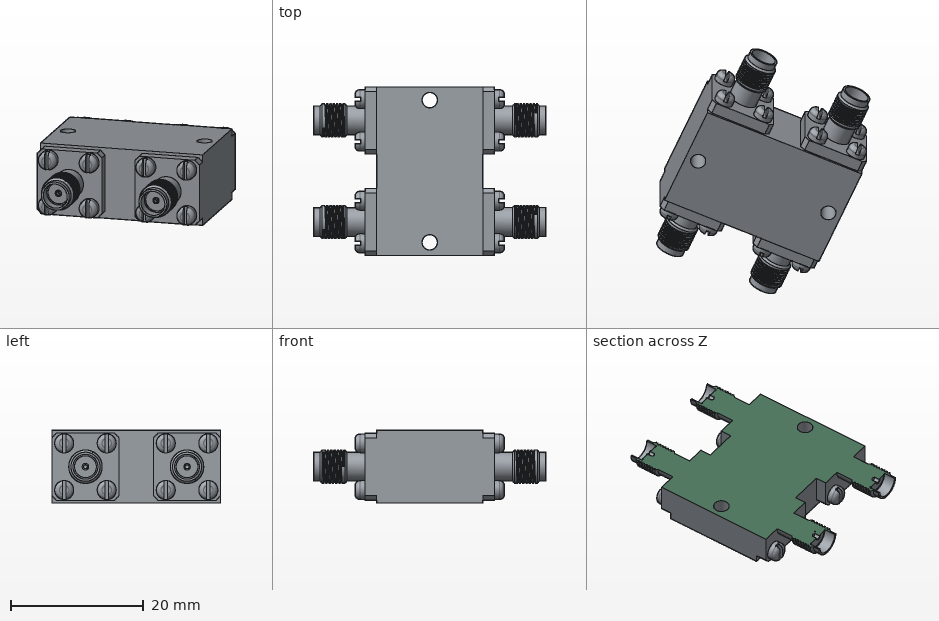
import cadquery as cq
import math

overall_length = 35.0
body_length = 16.0
body_width = 25.4
body_height = 11.0
mount_hole_diameter = 2.28
mount_hole_inset = 2.0

flange_size = 10.1
flange_thickness = 1.75
flange_corner_chamfer = 0.7

screw_spacing_y = 6.4
screw_spacing_z = 7.05
screw_head_diameter = 2.87
screw_head_height = 1.5
screw_dome_radius = screw_head_diameter / 4
screw_slot_width = 0.55
screw_slot_depth = 0.85

barrel_diameter = 4.38
bore_diameter = 3.75
bore_depth = 1.82
bead_diameter = 3.3
bead_height = 0.07
contact_diameter = 0.98
contact_height = 0.07
contact_hole_diameter = 0.6
contact_hole_depth = 0.88
drill_point_angle = 118.0

collar_start = 0.98
collar_end = 5.05
thread_diameter = 5.05
thread_root_diameter = 4.62
thread_pitch = 0.495
thread_crest_width = 0.18
thread_root_width = 0.15
thread_cutter_overlap = 0.05

flange_face = body_length / 2 + flange_thickness
barrel_length = overall_length / 2 - flange_face
collar_slope = (thread_diameter - barrel_diameter) / 2
port_offset = (body_width - flange_size) / 2


def make_body():
    hole_offset = body_width / 2 - mount_hole_inset
    return (
        cq.Workplane("XY")
        .box(body_length, body_width, body_height)
        .faces(">Z")
        .workplane()
        .pushPoints([(0, -hole_offset), (0, hole_offset)])
        .hole(mount_hole_diameter)
    )


def make_flange():
    """Plate standing on the XY plane."""
    return (
        cq.Workplane("XY")
        .rect(flange_size, flange_size)
        .extrude(flange_thickness)
        .edges("|Z")
        .chamfer(flange_corner_chamfer)
    )


def make_screw_head():
    """Domed head standing on the XY plane, its slot along Y."""
    head = (
        cq.Workplane("XY")
        .circle(screw_head_diameter / 2)
        .extrude(screw_head_height)
        .faces(">Z")
        .edges()
        .fillet(screw_dome_radius)
    )
    slot = (
        cq.Workplane("XY")
        .workplane(offset=screw_head_height - screw_slot_depth)
        .rect(screw_slot_width, screw_head_diameter)
        .extrude(screw_slot_depth)
    )
    return head.cut(slot)


def make_thread_groove():
    """Right-handed helical groove cutter, ending where the collar slopes begin."""
    root_radius = thread_root_diameter / 2
    outer_radius = thread_diameter / 2 + thread_cutter_overlap
    flank_slope = (thread_pitch - thread_crest_width - thread_root_width) / (thread_diameter - thread_root_diameter)
    root_half = thread_root_width / 2
    outer_half = root_half + flank_slope * (outer_radius - root_radius)
    end_margin = collar_slope + outer_half
    groove_length = collar_end - collar_start - 2 * end_margin

    helix = cq.Wire.makeHelix(thread_pitch, groove_length, root_radius)
    groove = (
        cq.Workplane("XZ")
        .polyline([
            (root_radius, -root_half),
            (outer_radius, -outer_half),
            (outer_radius, outer_half),
            (root_radius, root_half),
        ])
        .close()
        .sweep(cq.Workplane(obj=helix), isFrenet=True)
    )
    return groove.translate((0, 0, barrel_length - collar_end + end_margin))


def make_collar():
    """Threaded ring whose ends slope at 45 degrees down to the barrel."""
    cylinder = (
        cq.Workplane("XY")
        .workplane(offset=barrel_length - collar_end)
        .circle(thread_diameter / 2)
        .extrude(collar_end - collar_start)
    )
    sloped_ends = cylinder.faces("<Z or >Z").edges().chamfer(collar_slope)
    return cylinder.cut(make_thread_groove()).intersect(sloped_ends)


def make_contact_hole():
    """Drilled hole in the contact tip, with a conical bottom."""
    top = barrel_length - bore_depth + bead_height + contact_height
    radius = contact_hole_diameter / 2
    point_depth = radius / math.tan(math.radians(drill_point_angle / 2))
    return (
        cq.Workplane("XZ")
        .moveTo(0, top)
        .lineTo(radius, top)
        .lineTo(radius, top - contact_hole_depth)
        .lineTo(0, top - contact_hole_depth - point_depth)
        .close()
        .revolve(360, (0, 0), (0, 1))
    )


def make_barrel():
    """Threaded barrel with an open bore; a low bead on the bore floor carries the contact."""
    bore_floor = barrel_length - bore_depth
    bead_face = bore_floor + bead_height
    barrel = cq.Workplane("XY").circle(barrel_diameter / 2).extrude(barrel_length)
    bore = cq.Workplane("XY").workplane(offset=bore_floor).circle(bore_diameter / 2).extrude(bore_depth)
    bead = cq.Workplane("XY").circle(bead_diameter / 2).extrude(bead_face)
    contact = cq.Workplane("XY").circle(contact_diameter / 2).extrude(bead_face + contact_height)
    return barrel.union(make_collar()).cut(bore).union(bead).union(contact).cut(make_contact_hole())


def make_connector():
    """Flange, screws and barrel, pointing along +Z from the flange's back face."""
    screw_head = make_screw_head()
    front_parts = make_barrel()
    for y in (-screw_spacing_y / 2, screw_spacing_y / 2):
        for z in (-screw_spacing_z / 2, screw_spacing_z / 2):
            front_parts = front_parts.union(screw_head.translate((y, z, 0)))
    return make_flange().union(front_parts.translate((0, 0, flange_thickness)))


def place_connectors(body, connector):
    """Put two connectors on each X face of the body."""
    for side in (-1, 1):
        for y in (-port_offset, port_offset):
            face = cq.Plane(
                origin=(side * body_length / 2, y, 0),
                xDir=(0, side, 0),
                normal=(side, 0, 0),
            )
            body = body.union(cq.Workplane(obj=connector.val().moved(cq.Location(face))))
    return body


result = place_connectors(make_body(), make_connector())